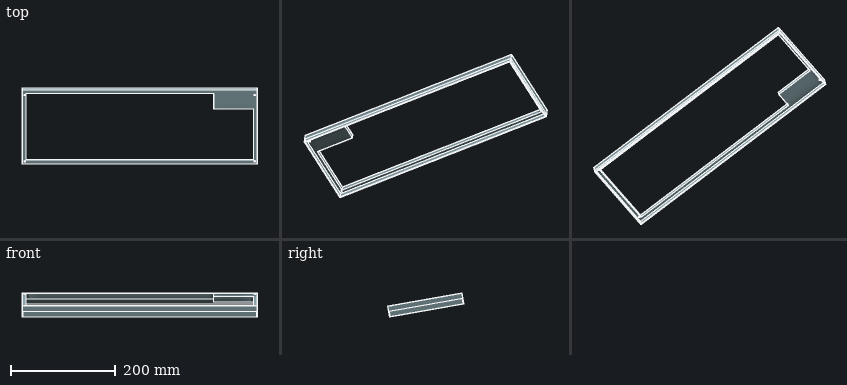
import cadquery as cq

LENGTH = 449.0
WIDTH = 144.0
HEIGHT = 21.0
TILT = 10.0

RAIL_WIDTH = 7.5
RAIL_THICKNESS = 10.5
SKIRT_WALL = 1.5

PAD_LENGTH = 83.5
PAD_WIDTH = 37.5

HOLE_DIAMETER = 2.5
HOLE_END_INSET = 5.5
HOLE_FRONT_INSET = 5.5
HOLE_BACK_INSET = 10.5
HOLE_SKIN = 0.3

TOP = HEIGHT / 2
BOTTOM = -HEIGHT / 2
RAIL_UNDERSIDE = TOP - RAIL_THICKNESS


def make_ring(wall, bottom, top):
    """Rectangular ring inside the frame outline that spans the given heights."""
    return (
        cq.Workplane("XY", origin=(0, 0, bottom))
        .rect(LENGTH, WIDTH)
        .rect(LENGTH - 2 * wall, WIDTH - 2 * wall)
        .extrude(top - bottom)
    )


def make_pad():
    centre_x = (LENGTH - PAD_LENGTH) / 2
    centre_y = (WIDTH - PAD_WIDTH) / 2
    return (
        cq.Workplane("XY", origin=(centre_x, centre_y, RAIL_UNDERSIDE))
        .rect(PAD_LENGTH, PAD_WIDTH)
        .extrude(RAIL_THICKNESS)
    )


def make_corner_holes():
    hole_x = LENGTH / 2 - HOLE_END_INSET
    front_y = HOLE_FRONT_INSET - WIDTH / 2
    back_y = WIDTH / 2 - HOLE_BACK_INSET
    centres = [(x, y) for x in (-hole_x, hole_x) for y in (front_y, back_y)]
    return (
        cq.Workplane("XY", origin=(0, 0, RAIL_UNDERSIDE))
        .pushPoints(centres)
        .circle(HOLE_DIAMETER / 2)
        .extrude(RAIL_THICKNESS - HOLE_SKIN)
    )


rail = make_ring(RAIL_WIDTH, RAIL_UNDERSIDE, TOP)
skirt = make_ring(SKIRT_WALL, BOTTOM, RAIL_UNDERSIDE)
flat_part = rail.union(skirt).union(make_pad()).cut(make_corner_holes())
result = flat_part.rotate((0, 0, 0), (1, 0, 0), TILT)